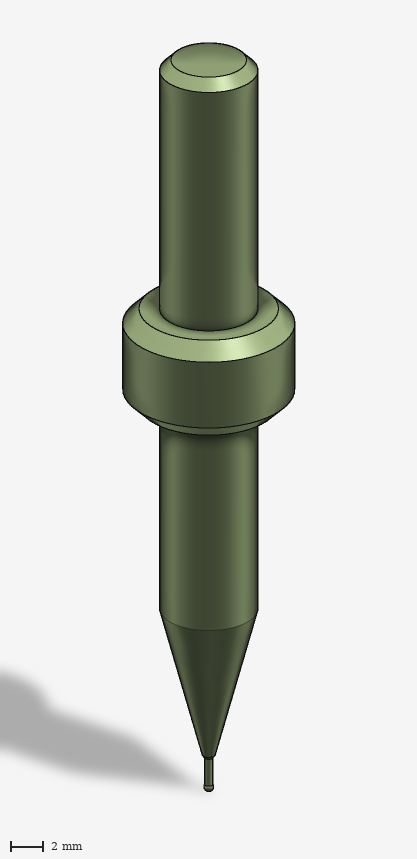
import cadquery as cq
import math

TOTAL_LENGTH = 50.0
SHANK_RADIUS = 3.0
SHANK_CHAMFER = 0.7
TAPER_TOP_Z = 12.5
TAPER_BOTTOM_Z = 2.5
STEM_TOP_Z = 2.3
TAPER_TIP_RADIUS = 0.4
STEM_RADIUS = 0.25
BALL_RADIUS = 0.3

COLLAR_RADIUS = 5.25
COLLAR_BOTTOM_Z = 26.5
COLLAR_HEIGHT = 6.5
COLLAR_CHAMFER = 1.0


def make_pin():
    """Revolve the pin's half profile around Z."""
    stem_bottom_z = BALL_RADIUS + math.sqrt(BALL_RADIUS**2 - STEM_RADIUS**2)
    return (
        cq.Workplane("XZ")
        .moveTo(0, 0)
        .threePointArc((BALL_RADIUS, BALL_RADIUS), (STEM_RADIUS, stem_bottom_z))
        .lineTo(STEM_RADIUS, STEM_TOP_Z)
        .lineTo(TAPER_TIP_RADIUS, TAPER_BOTTOM_Z)
        .lineTo(SHANK_RADIUS, TAPER_TOP_Z)
        .lineTo(SHANK_RADIUS, TOTAL_LENGTH - SHANK_CHAMFER)
        .lineTo(SHANK_RADIUS - SHANK_CHAMFER, TOTAL_LENGTH)
        .lineTo(0, TOTAL_LENGTH)
        .close()
        .revolve(360, (0, 0), (0, 1))
    )


def make_collar():
    """Chamfer the disc's outer edges, then bore it to fit the shank."""
    return (
        cq.Workplane("XY")
        .workplane(offset=COLLAR_BOTTOM_Z)
        .circle(COLLAR_RADIUS)
        .extrude(COLLAR_HEIGHT)
        .edges("%CIRCLE")
        .chamfer(COLLAR_CHAMFER)
        .faces(">Z")
        .workplane()
        .hole(2 * SHANK_RADIUS)
    )


pin = make_pin()
collar = make_collar()

result = cq.Compound.makeCompound([pin.val(), collar.val()])